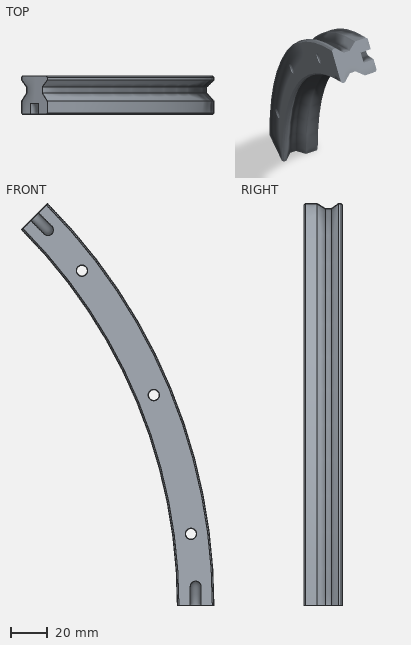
import cadquery as cq
import math

sweep_angle = 45.0
outer_radius = 310.0
rail_width = 20.0
rail_depth = 21.0
inner_radius = outer_radius - rail_width
middle_radius = outer_radius - rail_width / 2

edge_bevel = 0.9
groove_depth = 4.0
groove_front = 7.2
groove_floor_front = 11.6
groove_floor_back = 15.0
groove_back = groove_floor_back + groove_depth
lip_bevel = 0.5

hole_diameter = 6.0
hole_count = 3

slot_width = 6.0
slot_length = 13.4
slot_depth = 6.0


def make_rail():
    """Revolve the symmetric grooved section through the sweep angle."""
    half_width = rail_width / 2
    outer_side = [
        (half_width - edge_bevel, 0),
        (half_width, edge_bevel),
        (half_width, groove_front),
        (half_width - lip_bevel, groove_front + lip_bevel),
        (half_width - groove_depth, groove_floor_front),
        (half_width - groove_depth, groove_floor_back),
        (half_width, groove_back),
        (half_width, rail_depth - edge_bevel),
        (half_width - edge_bevel, rail_depth),
    ]
    inner_side = [(-offset, y) for offset, y in reversed(outer_side)]
    section = [(middle_radius + offset, y) for offset, y in outer_side + inner_side]
    return cq.Workplane("XY").polyline(section).close().revolve(sweep_angle, (0, 0, 0), (0, -1, 0))


def make_hole(angle):
    """Cylinder through the rail on its middle arc, at an angle from +X toward +Z."""
    x = middle_radius * math.cos(math.radians(angle))
    z = middle_radius * math.sin(math.radians(angle))
    hole = cq.Solid.makeCylinder(hole_diameter / 2, rail_depth, cq.Vector(x, 0, z), cq.Vector(0, 1, 0))
    return cq.Workplane(obj=hole)


def make_start_slot():
    """Round-ended slot running up from the end face on the X axis."""
    tip_radius = slot_width / 2
    left = middle_radius - tip_radius
    right = middle_radius + tip_radius
    shoulder = slot_length - tip_radius
    return (
        cq.Workplane("XZ")
        .moveTo(left, 0)
        .lineTo(right, 0)
        .lineTo(right, shoulder)
        .threePointArc((middle_radius, slot_length), (left, shoulder))
        .close()
        .extrude(-slot_depth)
    )


rail = make_rail()

hole_pitch = sweep_angle / hole_count
for index in range(hole_count):
    rail = rail.cut(make_hole((index + 0.5) * hole_pitch))

start_slot = make_start_slot()
end_slot = start_slot.mirror("XY").rotate((0, 0, 0), (0, 1, 0), -sweep_angle)

result = rail.cut(start_slot).cut(end_slot)